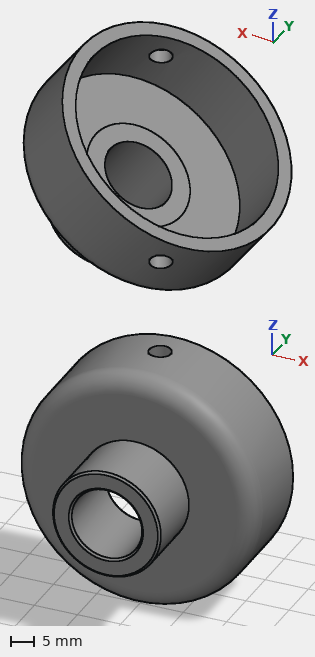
import cadquery as cq

cup_diameter = 55.4
cup_width = 20.0
wall_thickness = 3.2
rim_fillet = 4.2
cavity_diameter = cup_diameter - 2 * wall_thickness
cavity_depth = cup_width - wall_thickness

front_end = 35.0
bushing_diameter = 25.0
bore_diameter = 16.25
edge_chamfer = 0.5

cross_hole_diameter = 5.0
cross_hole_from_back = 7.0


def cylinder(diameter, start, end):
    """Cylinder about the Y axis between two distances in front of the open back."""
    return cq.Workplane("XZ", origin=(0, -start, 0)).circle(diameter / 2).extrude(end - start)


def make_cross_hole():
    """Cutter for the hole that crosses the full cup diameter."""
    return (
        cq.Workplane("XY")
        .center(0, -cross_hole_from_back)
        .circle(cross_hole_diameter / 2)
        .extrude(cup_diameter / 2, both=True)
    )


def make_cup():
    """Shell with a rounded front rim, a seat for the bushing and the cross hole."""
    cup = cylinder(cup_diameter, 0, cup_width)
    cup = cup.faces("<Y").edges().fillet(rim_fillet)
    cavity = cylinder(cavity_diameter, 0, cavity_depth)
    seat = cylinder(bushing_diameter, cavity_depth, cup_width)
    return cup.cut(cavity).cut(seat).cut(make_cross_hole())


def make_bushing():
    """Sleeve with both edges of its front end chamfered."""
    sleeve = cylinder(bushing_diameter, cavity_depth, front_end)
    sleeve = sleeve.cut(cylinder(bore_diameter, cavity_depth, front_end))
    return sleeve.faces("<Y").edges().chamfer(edge_chamfer)


cup = make_cup()
bushing = make_bushing()
result = cq.Compound.makeCompound([cup.val(), bushing.val()])